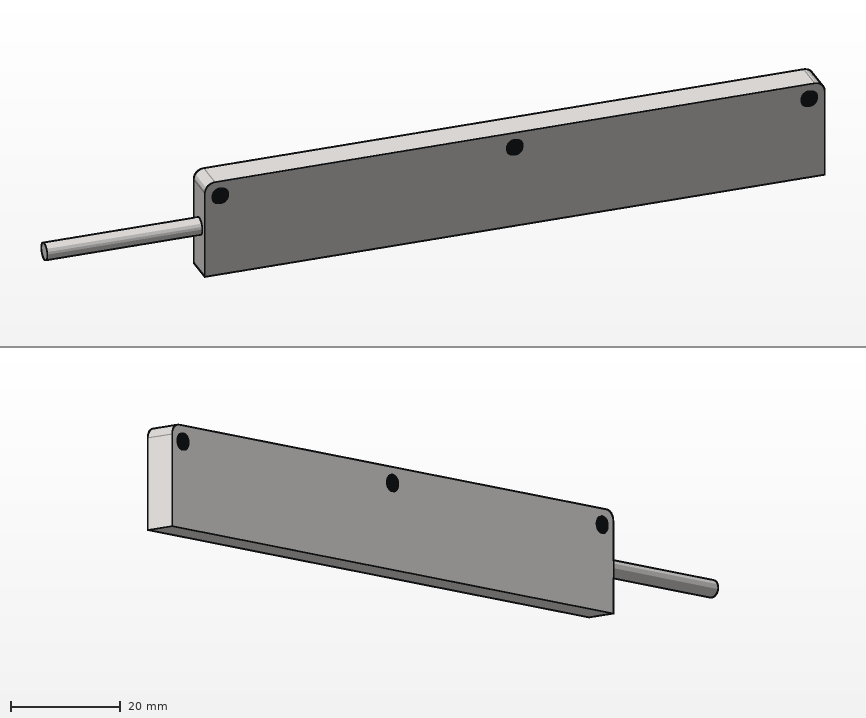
import cadquery as cq

total_length = 150.0
housing_length = 120.0
housing_width = 6.0
housing_height = 19.0

corner_radius = 2.0
hole_diameter = 3.0
hole_inset = 3.0

groove_diameter = 0.25
groove_count = 12
groove_pitch = housing_width / groove_count

cable_diameter = 3.3
cable_length = total_length - housing_length
cable_height = 9.0


def make_threaded_hole(y, z):
    """Cutter for one hole through the housing along X, with thread grooves along its wall."""
    cutter = (
        cq.Workplane("YZ", origin=(-housing_width / 2, y, z))
        .circle(hole_diameter / 2)
        .extrude(housing_width)
    )
    for i in range(groove_count):
        x = -housing_width / 2 + (i + 0.5) * groove_pitch
        groove = cq.Solid.makeTorus(
            hole_diameter / 2, groove_diameter / 2, cq.Vector(x, y, z), cq.Vector(1, 0, 0)
        )
        cutter = cutter.union(cq.Workplane(groove))
    return cutter


def make_housing():
    """Flat bar along Y with rounded top corners and threaded holes along its top edge."""
    bar = cq.Workplane("XY").box(
        housing_width, housing_length, housing_height, centered=(True, True, False)
    )
    bar = bar.faces(">Z").edges("|X").fillet(corner_radius)

    hole_offset = housing_length / 2 - hole_inset
    hole_height = housing_height - hole_inset
    for y in (-hole_offset, 0, hole_offset):
        bar = bar.cut(make_threaded_hole(y, hole_height))
    return bar


def make_cable():
    """Round cable that butts against the -Y end face of the housing."""
    return (
        cq.Workplane("XZ", origin=(0, -housing_length / 2, cable_height))
        .circle(cable_diameter / 2)
        .extrude(cable_length)
    )


housing = make_housing()
cable = make_cable()

result = cq.Compound.makeCompound([housing.val(), cable.val()])